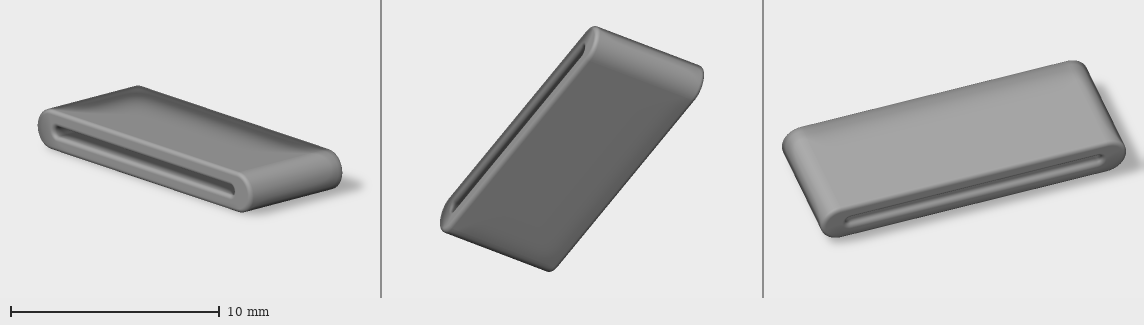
import cadquery as cq

length = 15.5
depth = 6.0
height = 2.0
slot_length = 13.0
slot_height = 0.5
edge_radius = 0.2


def rounded_bar(bar_length, bar_height):
    """Full-round bar along X, extruded through the depth and centred on the origin."""
    return cq.Workplane("XZ").slot2D(bar_length, bar_height).extrude(depth / 2, both=True)


body = rounded_bar(length, height)
slot = rounded_bar(slot_length, slot_height)

result = body.cut(slot).faces("<Y or >Y").edges().fillet(edge_radius)